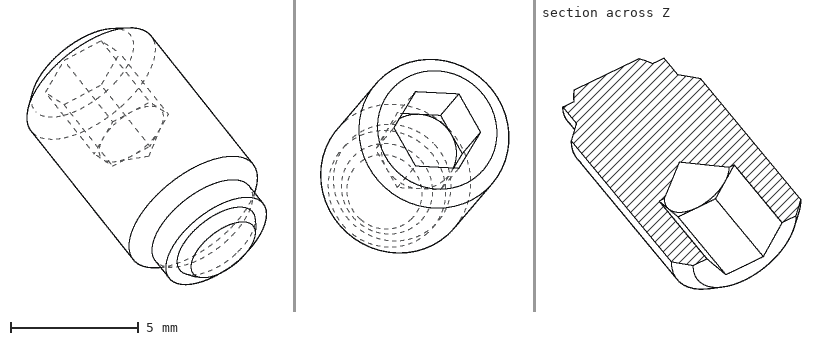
import cadquery as cq
import math

overall_length = 10.1
body_diameter = 6.0
socket_chamfer = 0.6135
nose_chamfer = 0.65
nose_length = 1.0
tip_length = 0.5
ball_diameter = 4.0
tip_face_diameter = 3.0

socket_sides = 6
socket_across_flats = 3.0
socket_depth = 3.5
floor_cone_angle = 100.0

body_radius = body_diameter / 2
nose_radius = body_radius - nose_chamfer
tip_base_x = overall_length - tip_length
nose_start_x = tip_base_x - nose_length
nose_chamfer_start_x = nose_start_x - nose_chamfer

ball_radius = ball_diameter / 2
tip_face_radius = tip_face_diameter / 2
ball_center_to_face = math.sqrt(ball_radius**2 - tip_face_radius**2)
ball_center_x = overall_length - ball_center_to_face
tip_base_radius = math.sqrt(ball_radius**2 - (tip_base_x - ball_center_x) ** 2)
tip_middle_x = tip_base_x + tip_length / 2
tip_middle_radius = math.sqrt(ball_radius**2 - (tip_middle_x - ball_center_x) ** 2)


def make_body():
    """Revolve the half outline of body, nose and ball tip about the X axis."""
    return (
        cq.Workplane("XY")
        .moveTo(0, 0)
        .lineTo(0, body_radius - socket_chamfer)
        .lineTo(socket_chamfer, body_radius)
        .lineTo(nose_chamfer_start_x, body_radius)
        .lineTo(nose_start_x, nose_radius)
        .lineTo(tip_base_x, nose_radius)
        .lineTo(tip_base_x, tip_base_radius)
        .threePointArc((tip_middle_x, tip_middle_radius), (overall_length, tip_face_radius))
        .lineTo(overall_length, 0)
        .close()
        .revolve(360, (0, 0, 0), (1, 0, 0))
    )


def make_socket():
    """Hexagonal prism with corners on the Y axis, ending in a drill-point cone."""
    across_corners = socket_across_flats / math.cos(math.pi / socket_sides)
    prism = cq.Workplane("YZ").polygon(socket_sides, across_corners).extrude(socket_depth)
    cone_radius = socket_across_flats / 2
    cone_depth = cone_radius / math.tan(math.radians(floor_cone_angle / 2))
    cone = cq.Solid.makeCone(
        cone_radius, 0, cone_depth, cq.Vector(socket_depth, 0, 0), cq.Vector(1, 0, 0)
    )
    return prism.union(cq.Workplane(cone))


result = make_body().cut(make_socket())